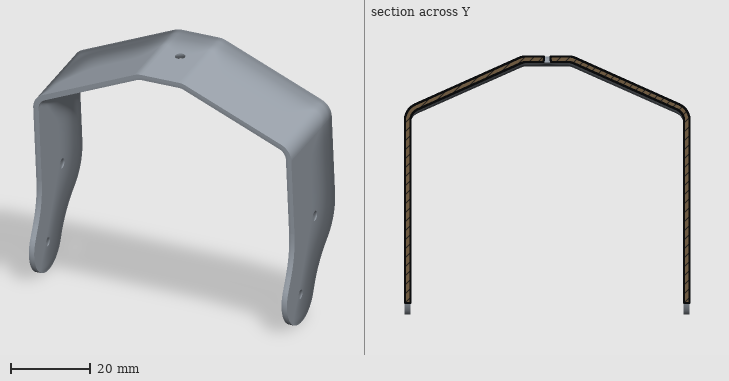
import cadquery as cq
import math

span = 72.15
sheet = 1.5
strap_width = 24.1
tilt = 5.0

crown_height = 39.1
flat_half = 5.3
roof_angle = math.radians(24.0)
inner_bend = 3.0
outer_bend = inner_bend + sheet

shoulder_radius = strap_width / 2
lobe_radius = 8.1
hole_spacing = 20.2
lobe_angle = math.radians(30.0)
front_fillet = 22.0
rear_fillet = 23.8
hole_diameter = 2.7
lobe_hole_diameter = 2.4

lobe_y = -hole_spacing * math.sin(lobe_angle)
lobe_z = -hole_spacing * math.cos(lobe_angle)
strap_bottom = lobe_z - lobe_radius


def strap_section(inset, bend):
    """Solid under the folded outline, moved in by inset and with rounded folds."""
    half = span / 2 - inset
    crown_fold = flat_half + outer_bend * math.tan(roof_angle / 2) - inset * math.tan(roof_angle / 2)
    top = crown_height - inset
    eave = top - (half - crown_fold) * math.tan(roof_angle)
    outline = [
        (-half, strap_bottom),
        (-half, eave),
        (-crown_fold, top),
        (crown_fold, top),
        (half, eave),
        (half, strap_bottom),
    ]
    block = cq.Workplane("XZ").polyline(outline).close().extrude(strap_width, both=True)
    upper_folds = cq.selectors.BoxSelector(
        (-span, -strap_width, 0), (span, strap_width, crown_height + sheet)
    )
    return block.edges("|Y").edges(upper_folds).fillet(bend)


def point_toward(start, target, distance):
    """Point at the given distance from start on the line to target."""
    length = math.dist(start, target)
    return tuple(a + (b - a) * distance / length for a, b in zip(start, target))


def arc_middle(center, radius, first, last):
    """Middle point of the short arc from first to last around center."""
    chord_middle = tuple((a + b) / 2 for a, b in zip(first, last))
    return point_toward(center, chord_middle, radius)


def leg_outline():
    """Leg profile in YZ, extruded across the full span."""
    shoulder = (0.0, 0.0)
    lobe = (lobe_y, lobe_z)

    flank_end = (
        lobe_y - lobe_radius * math.cos(lobe_angle),
        lobe_z + lobe_radius * math.sin(lobe_angle),
    )
    front_corner_z = flank_end[1] - (flank_end[0] + shoulder_radius) / math.tan(lobe_angle)
    front_corner = (-shoulder_radius, front_corner_z)
    tangent_length = front_fillet * math.tan(lobe_angle / 2)
    front_start = (-shoulder_radius, front_corner_z + tangent_length)
    front_end = point_toward(front_corner, flank_end, tangent_length)
    front_center = (-shoulder_radius - front_fillet, front_start[1])

    to_shoulder = shoulder_radius + rear_fillet
    to_lobe = lobe_radius + rear_fillet
    along = (to_shoulder**2 - to_lobe**2 + hole_spacing**2) / (2 * hole_spacing)
    aside = math.sqrt(to_shoulder**2 - along**2)
    axis_y = lobe_y / hole_spacing
    axis_z = lobe_z / hole_spacing
    rear_center = (along * axis_y - aside * axis_z, along * axis_z + aside * axis_y)
    rear_start = point_toward(lobe, rear_center, lobe_radius)
    rear_end = point_toward(shoulder, rear_center, shoulder_radius)
    shoulder_end = (shoulder_radius, 0.0)

    lobe_tip = point_toward(shoulder, lobe, hole_spacing + lobe_radius)
    return (
        cq.Workplane("YZ")
        .moveTo(-shoulder_radius, crown_height)
        .lineTo(*front_start)
        .threePointArc(arc_middle(front_center, front_fillet, front_start, front_end), front_end)
        .lineTo(*flank_end)
        .threePointArc(lobe_tip, rear_start)
        .threePointArc(arc_middle(rear_center, rear_fillet, rear_start, rear_end), rear_end)
        .threePointArc(arc_middle(shoulder, shoulder_radius, rear_end, shoulder_end), shoulder_end)
        .lineTo(shoulder_radius, crown_height)
        .close()
        .extrude(span, both=True)
    )


def cross_hole(y, z, diameter):
    """Cutter through both legs along X."""
    return cq.Workplane("YZ").center(y, z).circle(diameter / 2).extrude(span, both=True)


folded_strap = strap_section(0.0, outer_bend).cut(strap_section(sheet, inner_bend))
bracket = folded_strap.intersect(leg_outline())

bracket = bracket.cut(cross_hole(0.0, 0.0, hole_diameter))
bracket = bracket.cut(cross_hole(lobe_y, lobe_z, lobe_hole_diameter))

crown_hole = cq.Workplane("XY").circle(hole_diameter / 2).extrude(crown_height + sheet)
bracket = bracket.cut(crown_hole)

result = bracket.rotate((0, 0, 0), (1, 0, 0), tilt)